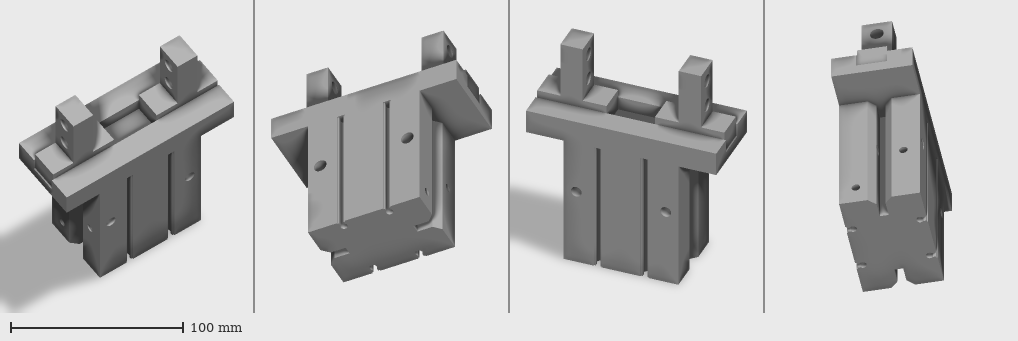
import cadquery as cq

TOTAL_HEIGHT = 139.0
WIDTH = 48.0
FLANGE_LENGTH = 119.0
FLANGE_HEIGHT = 15.0
BODY_LENGTH = 71.7
BODY_HEIGHT = 83.0
HOUSING_HEIGHT = BODY_HEIGHT + FLANGE_HEIGHT

CHANNEL_WIDTH = 18.0
CHANNEL_DEPTH = 8.6
CHANNEL_FLOOR = HOUSING_HEIGHT - CHANNEL_DEPTH

JAW_BASE_LENGTH = 43.4
JAW_BASE_TOP = 103.0
JAW_END_GAP = 1.0
FINGER_THICKNESS = 14.0
FINGER_OFFSET = 14.5
FINGER_HOLE_DIAMETER = 8.0
FINGER_HOLE_FROM_TOP = 9.0
FINGER_HOLE_SPACING = 17.0

END_SLOT_WIDTH = 5.3
END_SLOT_MOUTH = 14.0
END_SLOT_CHAMFER = (END_SLOT_MOUTH - END_SLOT_WIDTH) / 2
END_SLOT_DEPTH = 14.0

GROOVE_SPACING = 29.3
GROOVE_REBATE_WIDTH = 4.9
GROOVE_REBATE_DEPTH = 0.7
GROOVE_NECK_WIDTH = 2.9
GROOVE_DIAMETER = 4.5
GROOVE_CENTRE_DEPTH = 4.2

CROSS_HOLE_SPACING = 56.0
CROSS_HOLE_HEIGHT = 49.0
CROSS_HOLE_DIAMETER = 6.7
CROSS_MOUTH_DIAMETER = 8.0
CROSS_MOUTH_DEPTH = 12.0

PORT_OFFSET = 14.0
PORT_DIAMETER = 5.0
PORT_DEPTH = 10.0
UPPER_PORT_HEIGHT = 38.0
LOWER_PORT_HEIGHT = 12.0


def box(size_x, size_y, size_z, centre_y, bottom):
    """A box centred on X = 0."""
    return (
        cq.Workplane("XY", origin=(0, centre_y, bottom))
        .box(size_x, size_y, size_z, centered=(True, True, False))
    )


def cylinder_along_x(diameter, start_x, length, y, z):
    return cq.Workplane("YZ", origin=(start_x, y, z)).circle(diameter / 2).extrude(length)


def end_slot(side):
    """Slot cut into the body end at +Y (side = 1) or -Y (side = -1)."""
    end = side * BODY_LENGTH / 2
    neck = end - side * END_SLOT_CHAMFER
    floor = end - side * END_SLOT_DEPTH
    half_mouth = END_SLOT_MOUTH / 2
    half_width = END_SLOT_WIDTH / 2
    return (
        cq.Workplane("XY")
        .polyline([
            (-half_mouth, end),
            (-half_width, neck),
            (-half_width, floor),
            (half_width, floor),
            (half_width, neck),
            (half_mouth, end),
        ])
        .close()
        .extrude(BODY_HEIGHT)
    )


def sensor_groove(side, y):
    """Groove cut into the body side at +X (side = 1) or -X (side = -1)."""
    face = side * WIDTH / 2
    centre = face - side * GROOVE_CENTRE_DEPTH
    rebate = (
        cq.Workplane("XY", origin=(face, y, 0))
        .rect(2 * GROOVE_REBATE_DEPTH, GROOVE_REBATE_WIDTH)
        .extrude(BODY_HEIGHT)
    )
    neck = (
        cq.Workplane("XY", origin=((face + centre) / 2, y, 0))
        .rect(GROOVE_CENTRE_DEPTH, GROOVE_NECK_WIDTH)
        .extrude(BODY_HEIGHT)
    )
    channel = (
        cq.Workplane("XY", origin=(centre, y, 0))
        .circle(GROOVE_DIAMETER / 2)
        .extrude(BODY_HEIGHT)
    )
    return rebate.union(neck).union(channel)


def cross_hole(y):
    """Through hole along X with a wider mouth on the -X face."""
    hole = cylinder_along_x(CROSS_HOLE_DIAMETER, -WIDTH / 2, WIDTH, y, CROSS_HOLE_HEIGHT)
    mouth = cylinder_along_x(
        CROSS_MOUTH_DIAMETER, -WIDTH / 2, CROSS_MOUTH_DEPTH, y, CROSS_HOLE_HEIGHT
    )
    return hole.union(mouth)


def air_port(x, z):
    """Blind round port in the -Y end face."""
    return (
        cq.Workplane("XZ", origin=(x, -BODY_LENGTH / 2, z))
        .circle(PORT_DIAMETER / 2)
        .extrude(-PORT_DEPTH)
    )


def make_housing():
    """Body with the jaw guide flange on top."""
    body = box(WIDTH, BODY_LENGTH, BODY_HEIGHT, 0, 0)
    flange = box(WIDTH, FLANGE_LENGTH, FLANGE_HEIGHT, 0, BODY_HEIGHT)
    housing = body.union(flange)
    housing = housing.cut(box(CHANNEL_WIDTH, FLANGE_LENGTH, CHANNEL_DEPTH, 0, CHANNEL_FLOOR))
    for side in (-1, 1):
        housing = housing.cut(end_slot(side))
        housing = housing.cut(cross_hole(side * CROSS_HOLE_SPACING / 2))
        for end in (-1, 1):
            housing = housing.cut(sensor_groove(side, end * GROOVE_SPACING / 2))
    housing = housing.cut(air_port(PORT_OFFSET, UPPER_PORT_HEIGHT))
    housing = housing.cut(air_port(-PORT_OFFSET, LOWER_PORT_HEIGHT))
    return housing


def make_jaw(side):
    """Sliding jaw at the +Y (side = 1) or -Y (side = -1) end of the channel."""
    base_outer_end = FLANGE_LENGTH / 2 - JAW_END_GAP
    base_centre = side * (base_outer_end - JAW_BASE_LENGTH / 2)
    finger_centre = side * (base_outer_end - FINGER_OFFSET - FINGER_THICKNESS / 2)
    base = box(CHANNEL_WIDTH, JAW_BASE_LENGTH, JAW_BASE_TOP - CHANNEL_FLOOR, base_centre, CHANNEL_FLOOR)
    finger = box(
        CHANNEL_WIDTH, FINGER_THICKNESS, TOTAL_HEIGHT - JAW_BASE_TOP, finger_centre, JAW_BASE_TOP
    )
    upper_hole_height = TOTAL_HEIGHT - FINGER_HOLE_FROM_TOP
    holes = (
        cq.Workplane("XZ", origin=(0, finger_centre, 0))
        .pushPoints([(0, upper_hole_height), (0, upper_hole_height - FINGER_HOLE_SPACING)])
        .circle(FINGER_HOLE_DIAMETER / 2)
        .extrude(FINGER_THICKNESS, both=True)
    )
    return base.union(finger).cut(holes)


housing = make_housing()
jaws = [make_jaw(side) for side in (-1, 1)]

result = cq.Compound.makeCompound([housing.val(), *[jaw.val() for jaw in jaws]])